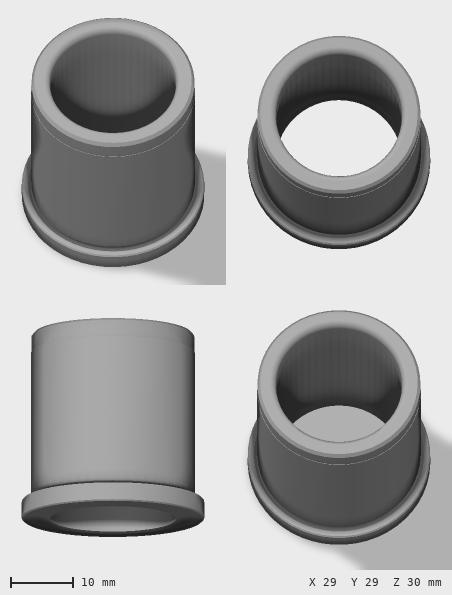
import cadquery as cq
import math

height = 30.0
bore_diameter = 20.0
body_diameter = 26.0
lead_diameter = 25.9
flange_diameter = 29.0

flange_thickness = 3.0
lead_length = 3.0
undercut_top = 3.6

bore_round = 1.0
lead_chamfer_height = 0.5
lead_chamfer_width = 0.45
flange_chamfer = 0.2

groove_outer_diameter = 27.0
groove_depth = 0.42
groove_radius = 0.33
groove_slope = math.radians(45)

body_radius = body_diameter / 2
lead_radius = lead_diameter / 2
flange_radius = flange_diameter / 2
bore_radius = bore_diameter / 2
groove_outer_radius = groove_outer_diameter / 2
lead_bottom = height - lead_length

groove_floor = flange_thickness - groove_depth
groove_floor_radius = groove_outer_radius - groove_depth / math.tan(groove_slope)
arc_center_height = groove_floor + groove_radius
arc_center_radius = (
    body_radius
    - (undercut_top - arc_center_height) / math.tan(groove_slope)
    + groove_radius / math.sin(groove_slope)
)
wall_foot = (
    arc_center_radius - groove_radius * math.sin(groove_slope),
    arc_center_height + groove_radius * math.cos(groove_slope),
)

profile = (
    cq.Workplane("XZ")
    .moveTo(bore_radius, 0)
    .lineTo(flange_radius - flange_chamfer, 0)
    .lineTo(flange_radius, flange_chamfer)
    .lineTo(flange_radius, flange_thickness - flange_chamfer)
    .lineTo(flange_radius - flange_chamfer, flange_thickness)
    .lineTo(groove_outer_radius, flange_thickness)
    .lineTo(groove_floor_radius, groove_floor)
    .lineTo(arc_center_radius, groove_floor)
    .radiusArc(wall_foot, groove_radius)
    .lineTo(body_radius, undercut_top)
    .lineTo(body_radius, lead_bottom)
    .lineTo(lead_radius, lead_bottom)
    .lineTo(lead_radius, height - lead_chamfer_height)
    .lineTo(lead_radius - lead_chamfer_width, height)
    .lineTo(bore_radius + bore_round, height)
    .radiusArc((bore_radius, height - bore_round), -bore_round)
    .close()
)

result = profile.revolve(360, (0, 0, 0), (0, 1, 0))